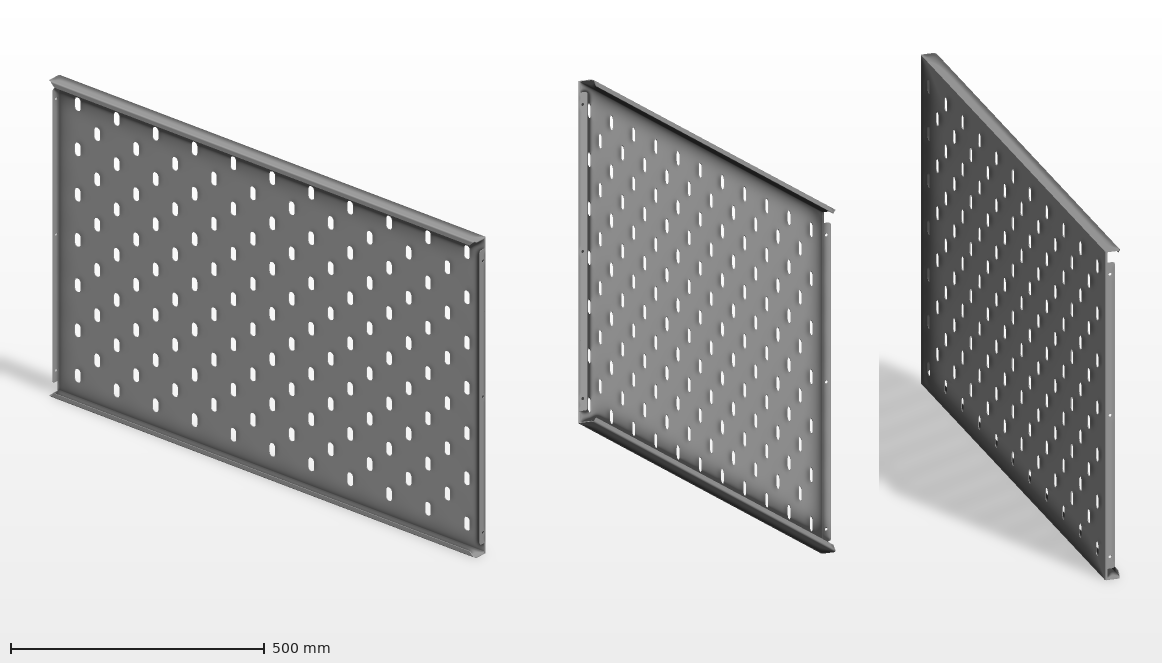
import cadquery as cq

length = 1098.0
height = 698.0
sheet = 1.5
bend_radius = 3.0
inner_radius = bend_radius - sheet

flange_depth = 20.0
flange_end_inset = 24.0
flange_corner = 5.0
return_depth = 4.5
return_relief = 0.25
panel_length = length - 2 * return_relief

channel_depth = 33.0
lip_height = 11.0
lip_inset = 4.0

screw_diameter = 6.0
screw_from_back = 10.0
screw_pitch = 300.0
screw_count = 3

slot_width = 15.0
slot_height = 30.0
slot_pitch = 100.0
slot_columns = 11
slot_rows = 7


def block(size_x, size_y, size_z, back_y=0.0):
    """Block centred on X and Z that extends from Y = back_y toward -Y."""
    return cq.Workplane("XY").box(size_x, size_y, size_z).translate((0, back_y - size_y / 2, 0))


def make_channels():
    """Back sheet with its top and bottom folded into channels with inward lips."""
    outside = block(panel_length, channel_depth, height).edges("|X").fillet(bend_radius)
    inside = block(panel_length, channel_depth - 2 * sheet, height - 2 * sheet, back_y=-sheet)
    inside = inside.edges("|X").fillet(inner_radius)
    opening = block(panel_length, 2 * sheet, height - 2 * lip_height, back_y=2 * sheet - channel_depth)
    rounded_sides = block(panel_length, channel_depth, height).edges("|Z and >Y").fillet(bend_radius)
    return outside.cut(inside).cut(opening).intersect(rounded_sides)


def lip_mitre(side, end):
    """Cutter that slants one end of a lip at 45 degrees; side and end are each -1 or 1."""
    corner_x = side * panel_length / 2
    corner_z = end * height / 2
    mitre_x = corner_x - side * lip_inset
    lip_edge_z = corner_z - end * lip_height
    return (
        cq.Workplane("XZ", origin=(0, bend_radius - channel_depth, 0))
        .moveTo(corner_x, corner_z)
        .lineTo(mitre_x, corner_z)
        .lineTo(mitre_x - side * lip_height, lip_edge_z)
        .lineTo(corner_x, lip_edge_z)
        .close()
        .extrude(bend_radius)
    )


def make_side_folds():
    """Left and right folds: shallow returns run the full height, the flanges stop short of it."""
    outside = block(length, 2 * flange_depth, height).edges("|Z and >Y").fillet(bend_radius)
    inside = block(length - 2 * sheet, 2 * flange_depth, height, back_y=-sheet)
    inside = inside.edges("|Z and >Y").fillet(inner_radius)
    return_zone = block(panel_length, return_depth, height)
    flange_zone = block(length, flange_depth, height - 2 * flange_end_inset)
    flange_zone = flange_zone.edges("|X and <Y").fillet(flange_corner)
    return outside.cut(inside).intersect(return_zone.union(flange_zone))


def slot_grid(columns, rows):
    """Cutters for one grid of upright slots through the back sheet."""
    return (
        cq.Workplane("XZ")
        .rarray(slot_pitch, slot_pitch, columns, rows)
        .slot2D(slot_height, slot_width, 90)
        .extrude(sheet)
    )


def screw_holes():
    """Cutters for the screw holes, passing through both side flanges."""
    return (
        cq.Workplane("YZ", origin=(-length / 2, -screw_from_back, 0))
        .rarray(1, screw_pitch, 1, screw_count)
        .circle(screw_diameter / 2)
        .extrude(length)
    )


channels = make_channels()
for side in (-1, 1):
    for end in (-1, 1):
        channels = channels.cut(lip_mitre(side, end))

result = channels.union(make_side_folds())
result = result.cut(slot_grid(slot_columns, slot_rows))
result = result.cut(slot_grid(slot_columns - 1, slot_rows - 1))
result = result.cut(screw_holes())